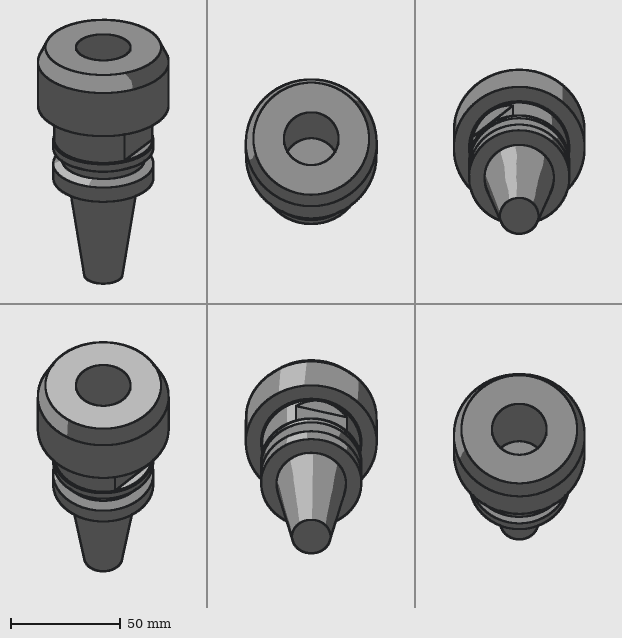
import cadquery as cq
import math


GAUGE_RADIUS = 31.75 / 2
TAPER_LENGTH = 48.4
TAPER_PER_LENGTH = 7 / 24
TIP_RADIUS = GAUGE_RADIUS - TAPER_LENGTH * TAPER_PER_LENGTH / 2

FLANGE_RADIUS = 46 / 2
FLANGE_BOTTOM = 2
FLANGE_TOP = 22
GROOVE_RADIUS = 38 / 2
GROOVE_MIDDLE = 13.6
GROOVE_FLOOR_WIDTH = 3.7
GROOVE_WALL_ANGLE = 30

NECK_RADIUS = 45 / 2
JOINT_CONE = FLANGE_RADIUS - NECK_RADIUS
FLAT_DISTANCE = 38 / 2

HEAD_RADIUS = 60 / 2
HEAD_BOTTOM = 40
HEAD_TOP = 70
HEAD_CHAMFER_HEIGHT = 7.5
HEAD_CHAMFER_ANGLE = 25

NECK_TOP = HEAD_BOTTOM - JOINT_CONE

BORE_RADIUS = 25 / 2
BORE_DEPTH = HEAD_TOP - FLANGE_TOP


def make_body():
    """Revolve the half profile from the taper tip up to the head face."""
    floor_bottom = GROOVE_MIDDLE - GROOVE_FLOOR_WIDTH / 2
    floor_top = GROOVE_MIDDLE + GROOVE_FLOOR_WIDTH / 2
    wall_rise = (FLANGE_RADIUS - GROOVE_RADIUS) * math.tan(math.radians(GROOVE_WALL_ANGLE))
    chamfer_inset = HEAD_CHAMFER_HEIGHT * math.tan(math.radians(HEAD_CHAMFER_ANGLE))
    profile = [
        (0, -TAPER_LENGTH),
        (TIP_RADIUS, -TAPER_LENGTH),
        (GAUGE_RADIUS, 0),
        (GAUGE_RADIUS, FLANGE_BOTTOM),
        (FLANGE_RADIUS, FLANGE_BOTTOM),
        (FLANGE_RADIUS, floor_bottom - wall_rise),
        (GROOVE_RADIUS, floor_bottom),
        (GROOVE_RADIUS, floor_top),
        (FLANGE_RADIUS, floor_top + wall_rise),
        (FLANGE_RADIUS, FLANGE_TOP - JOINT_CONE),
        (NECK_RADIUS, FLANGE_TOP),
        (NECK_RADIUS, NECK_TOP),
        (NECK_RADIUS + JOINT_CONE, HEAD_BOTTOM),
        (HEAD_RADIUS, HEAD_BOTTOM),
        (HEAD_RADIUS, HEAD_TOP - HEAD_CHAMFER_HEIGHT),
        (HEAD_RADIUS - chamfer_inset, HEAD_TOP),
        (0, HEAD_TOP),
    ]
    return cq.Workplane("XZ").polyline(profile).close().revolve(360, (0, 0), (0, 1))


def make_flat_cutter(side):
    """Prism beyond one wrench flat; its roof climbs outward at 45 degrees to the neck top."""
    flat_top = NECK_TOP - (NECK_RADIUS - FLAT_DISTANCE)
    outline = [
        (side * FLAT_DISTANCE, FLANGE_TOP),
        (side * FLAT_DISTANCE, flat_top),
        (side * NECK_RADIUS, NECK_TOP),
        (side * NECK_RADIUS, FLANGE_TOP),
    ]
    return cq.Workplane("XZ").polyline(outline).close().extrude(NECK_RADIUS, both=True)


def make_bore():
    """Cylinder sunk from the head face."""
    return cq.Workplane("XY").workplane(offset=HEAD_TOP).circle(BORE_RADIUS).extrude(-BORE_DEPTH)


body = make_body()
for side in (-1, 1):
    body = body.cut(make_flat_cutter(side))
result = body.cut(make_bore())